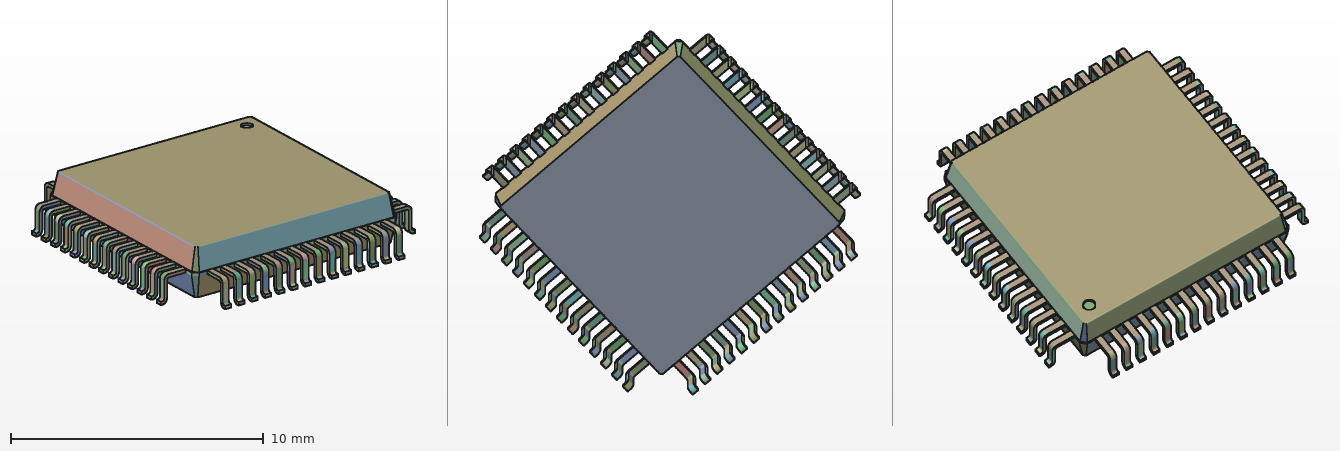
import cadquery as cq

span = 12.4
height = 2.25

side_count = 4
leads_per_side = 14
lead_row_length = 8.46
lead_pitch = lead_row_length / (leads_per_side - 1)
lead_width = 0.3
lead_thickness = 0.15
lead_top = 1.25
lead_bottom = lead_top - lead_thickness
lead_embed = 0.25
toe_length = 0.16
bend_inner_radius = 0.1
bend_outer_radius = bend_inner_radius + lead_thickness

body_width = 10.0
body_bottom = 0.1
draft_angle = 12.0
upper_ledge = 0.05
corner_chamfer = 0.21
top_edge_radius = 0.05
upper_depth = height - lead_top
lower_depth = lead_bottom - body_bottom

mark_diameter = 0.5
mark_offset = 4.04
mark_depth = 0.1


def body_section(z, width):
    """Square outline of the given width with chamfered corners, placed at height z."""
    outline = cq.Sketch().rect(width, width).vertices().chamfer(corner_chamfer)
    return cq.Workplane("XY", origin=(0, 0, z)).placeSketch(outline)


def make_body():
    """Straight band level with the leads, with drafted halves below it and, set in by a ledge, above."""
    upper_width = body_width - 2 * upper_ledge
    band = body_section(lead_bottom, body_width).extrude(lead_thickness)
    upper = body_section(lead_top, upper_width).extrude(upper_depth, taper=draft_angle)
    upper = upper.faces(">Z").edges().fillet(top_edge_radius)
    lower = body_section(lead_bottom, body_width).extrude(-lower_depth, taper=draft_angle)
    return band.union(upper).union(lower)


def make_lead():
    """One S-bent lead pointing along +X, centred on the XZ plane."""
    root = body_width / 2 - lead_embed
    tip = span / 2
    riser_outer = tip - toe_length
    riser_inner = riser_outer - lead_thickness
    shoulder_x = riser_inner - bend_inner_radius
    shoulder_z = lead_bottom - bend_inner_radius
    heel_x = riser_outer + bend_inner_radius
    heel_z = bend_outer_radius
    profile = (
        cq.Workplane("XZ")
        .moveTo(root, lead_top)
        .lineTo(shoulder_x, lead_top)
        .radiusArc((riser_outer, shoulder_z), bend_outer_radius)
        .lineTo(riser_outer, heel_z)
        .radiusArc((heel_x, lead_thickness), -bend_inner_radius)
        .lineTo(tip, lead_thickness)
        .lineTo(tip, 0)
        .lineTo(heel_x, 0)
        .radiusArc((riser_inner, heel_z), bend_outer_radius)
        .lineTo(riser_inner, shoulder_z)
        .radiusArc((shoulder_x, lead_bottom), -bend_inner_radius)
        .lineTo(root, lead_bottom)
        .close()
    )
    return profile.extrude(lead_width / 2, both=True)


def add_leads(body):
    """Join an evenly pitched row of leads to each of the four sides."""
    lead = make_lead()
    leads = []
    for side in range(side_count):
        for index in range(leads_per_side):
            y = index * lead_pitch - lead_row_length / 2
            placed = lead.translate((0, y, 0)).rotate((0, 0, 0), (0, 0, 1), 360 / side_count * side)
            leads.append(placed.val())
    return cq.Workplane(body.val().fuse(*leads).clean())


def cut_mark(body):
    """Shallow round recess in the top, at the -X, +Y corner."""
    mark = (
        cq.Workplane("XY", origin=(-mark_offset, mark_offset, height - mark_depth))
        .circle(mark_diameter / 2)
        .extrude(mark_depth)
    )
    return body.cut(mark)


result = cut_mark(add_leads(make_body()))